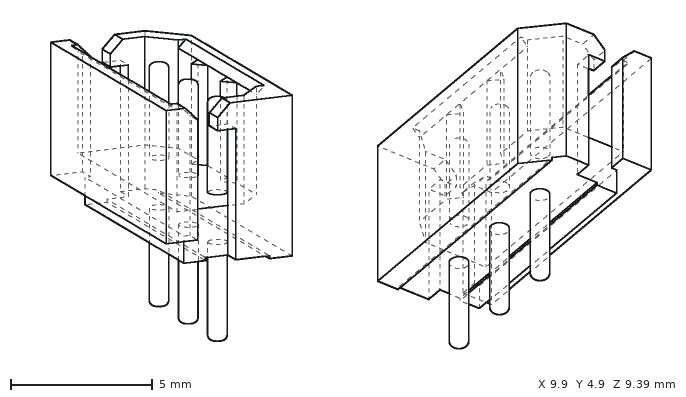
import cadquery as cq

width = 9.9
depth = 4.9
height = 5.9
polarity_chamfer = 1.24
base_front_y = 1.01
front_wall_bottom_z = 1.01
recess_front_y = 1.85
recess_rear_y = 4.02
recess_depth = 0.11

side_wall = 0.7
cavity_half_width = width / 2 - side_wall
cavity_front_y = 0.73
cavity_rear_y = 4.23
cavity_corner = 0.9
floor_z = 1.93
front_lead_in = 0.24
rear_lead_in = 0.3

front_end_y = 1.23
side_rear_y = 2.7
hook_tip_y = 2.0
hook_bottom_z = 4.93
opening_chamfer = 0.49

pin_count = 3
pin_pitch = 2.5
pin_diameter = 0.7
pin_y = 3.1
pin_top_z = 5.4
pin_bottom_z = -3.49
pin_rounding = 0.19
rib_half_width = 0.43
rib_depth = 0.45


def box(x_min, x_max, y_min, y_max, z_min, z_max):
    """Axis-aligned block between the given limits."""
    size = (x_max - x_min, y_max - y_min, z_max - z_min)
    return cq.Workplane("XY").box(*size, centered=False).translate((x_min, y_min, z_min))


def side_profile(points, x_min, x_max):
    """Extrude an outline of (y, z) points along X."""
    profile = cq.Workplane("YZ", origin=(x_min, 0, 0)).polyline(points).close()
    return profile.extrude(x_max - x_min)


def make_blank():
    outline = [
        (-width / 2, 0),
        (width / 2, 0),
        (width / 2, depth),
        (-width / 2 + polarity_chamfer, depth),
        (-width / 2, depth - polarity_chamfer),
    ]
    blank = cq.Workplane("XY").polyline(outline).close().extrude(height)
    under_wall = box(-width / 2, width / 2, 0, base_front_y, 0, front_wall_bottom_z)
    recess = box(-width / 2, width / 2, recess_front_y, recess_rear_y, 0, recess_depth)
    return blank.cut(under_wall).cut(recess)


def make_cavity():
    rear_half_width = cavity_half_width - cavity_corner
    outline = [
        (-cavity_half_width, cavity_front_y),
        (cavity_half_width, cavity_front_y),
        (cavity_half_width, cavity_rear_y - cavity_corner),
        (rear_half_width, cavity_rear_y),
        (-rear_half_width, cavity_rear_y),
        (-cavity_half_width, cavity_rear_y - cavity_corner),
    ]
    cavity = cq.Workplane("XY", origin=(0, 0, floor_z)).polyline(outline).close()
    cavity = cavity.extrude(height - floor_z)
    front_bevel = side_profile(
        [
            (cavity_front_y, height),
            (cavity_front_y - front_lead_in, height),
            (cavity_front_y, height - front_lead_in),
        ],
        -cavity_half_width,
        cavity_half_width,
    )
    rear_bevel = side_profile(
        [
            (cavity_rear_y, height),
            (cavity_rear_y + rear_lead_in, height),
            (cavity_rear_y, height - rear_lead_in),
        ],
        -rear_half_width,
        rear_half_width,
    )
    return cavity.union(front_bevel).union(rear_bevel)


def make_side_opening(x_min):
    """Opening through one side wall, including the space under the front wall."""
    outline = [
        (base_front_y, 0),
        (side_rear_y, 0),
        (side_rear_y, hook_bottom_z),
        (hook_tip_y, hook_bottom_z),
        (hook_tip_y, height - opening_chamfer),
        (hook_tip_y + opening_chamfer, height),
        (front_end_y - opening_chamfer, height),
        (front_end_y, height - opening_chamfer),
        (front_end_y, front_wall_bottom_z),
        (base_front_y, front_wall_bottom_z),
    ]
    return side_profile(outline, x_min, x_min + side_wall)


def make_rib(x):
    """Triangular rib on the rear wall, ending below the lead-in bevel."""
    outline = [
        (x - rib_half_width, cavity_rear_y),
        (x, cavity_rear_y - rib_depth),
        (x + rib_half_width, cavity_rear_y),
    ]
    rib_height = height - rear_lead_in - floor_z
    return cq.Workplane("XY", origin=(0, 0, floor_z)).polyline(outline).close().extrude(rib_height)


def make_pin(x):
    pin = cq.Workplane("XY", origin=(x, pin_y, pin_bottom_z)).circle(pin_diameter / 2)
    pin = pin.extrude(pin_top_z - pin_bottom_z)
    return pin.faces("<Z or >Z").edges().fillet(pin_rounding)


result = make_blank().cut(make_cavity())
for opening_x in (-width / 2, cavity_half_width):
    result = result.cut(make_side_opening(opening_x))

first_pin_x = -pin_pitch * (pin_count - 1) / 2
for index in range(pin_count):
    result = result.union(make_pin(first_pin_x + index * pin_pitch))
for index in range(pin_count - 1):
    result = result.union(make_rib(first_pin_x + (index + 0.5) * pin_pitch))